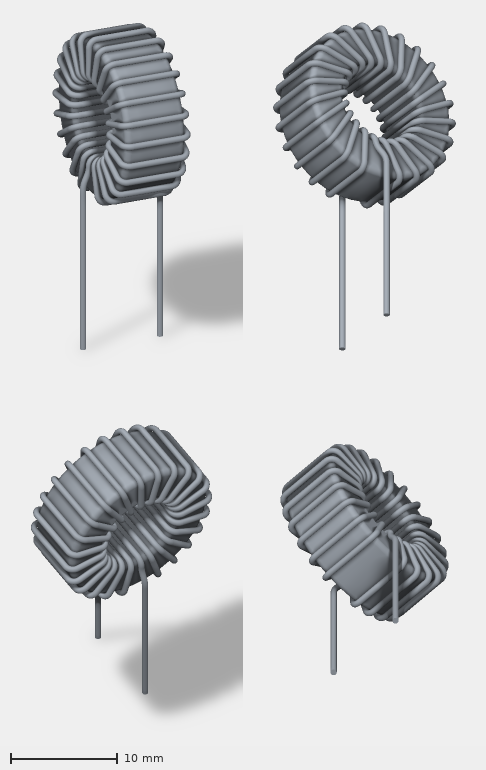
import cadquery as cq
import math

core_diameter = 15.4
hole_diameter = 8.35
core_width = 6.15
core_edge_radius = 0.5

wire_diameter = 0.6
winding_diameter = 16.6
turn_count = 24

lead_spacing = 8.0
lead_top_z = -7.02
lead_bottom_z = -23.05

wire_radius = wire_diameter / 2
bend_radius = core_edge_radius + wire_radius
outer_path_radius = winding_diameter / 2 - wire_radius
inner_path_radius = hole_diameter / 2 - wire_radius
front_y = -core_width / 2 - wire_radius
back_y = core_width / 2 + wire_radius
lead_y = lead_spacing / 2
turn_angle = 360 / turn_count
lead_angle = -90


def make_core():
    """Ring with all four circular edges rounded."""
    ring = (
        cq.Workplane("XZ", origin=(0, core_width / 2, 0))
        .circle(core_diameter / 2)
        .circle(hole_diameter / 2)
        .extrude(core_width)
    )
    return ring.edges("%CIRCLE").fillet(core_edge_radius)


def point_around_core(radius, angle, y):
    """Point at an angle about the Y axis, measured from +X toward +Z."""
    return cq.Vector(
        radius * math.cos(math.radians(angle)),
        y,
        radius * math.sin(math.radians(angle)),
    )


def winding_corners():
    """Corners of the winding centreline, from the back lead to the front lead.

    Each turn runs through the hole to the front, radially outward, over the outside to the back,
    and then slants inward to the start of the next turn. The first and last corners, at the
    bottom of the ring, only set the directions in which the wire leaves toward the leads.
    """
    corners = [point_around_core(outer_path_radius, lead_angle, back_y)]
    for turn in range(1, turn_count + 1):
        angle = lead_angle + turn * turn_angle
        corners.append(point_around_core(inner_path_radius, angle, back_y))
        corners.append(point_around_core(inner_path_radius, angle, front_y))
        corners.append(point_around_core(outer_path_radius, angle, front_y))
        if turn < turn_count:
            corners.append(point_around_core(outer_path_radius, angle, back_y))
    return corners


def corner_arc(before, corner, after):
    """Arc of the bend radius that rounds a corner between two straight runs."""
    toward_before = (before - corner).normalized()
    toward_after = (after - corner).normalized()
    half_angle = toward_before.getAngle(toward_after) / 2
    bisector = (toward_before + toward_after).normalized()
    setback = bend_radius / math.tan(half_angle)
    arc_start = corner + toward_before * setback
    arc_middle = corner + bisector * (bend_radius / math.sin(half_angle) - bend_radius)
    arc_end = corner + toward_after * setback
    return cq.Edge.makeThreePointArc(arc_start, arc_middle, arc_end)


def winding_path():
    """Back lead, curve onto the ring, all the turns with rounded corners, curve off it, front lead."""
    corners = winding_corners()
    arcs = [corner_arc(*triple) for triple in zip(corners, corners[1:], corners[2:])]
    up = cq.Vector(0, 0, 1)
    back_top = cq.Vector(0, lead_y, lead_top_z)
    back_tip = cq.Vector(0, lead_y, lead_bottom_z)
    front_top = cq.Vector(0, -lead_y, lead_top_z)
    front_tip = cq.Vector(0, -lead_y, lead_bottom_z)

    edges = [cq.Edge.makeLine(back_tip, back_top)]
    edges.append(cq.Edge.makeSpline([back_top, arcs[0].startPoint()], [up, arcs[0].tangentAt(0)]))
    for arc, next_arc in zip(arcs, arcs[1:]):
        edges.append(arc)
        edges.append(cq.Edge.makeLine(arc.endPoint(), next_arc.startPoint()))
    edges.append(arcs[-1])
    edges.append(cq.Edge.makeSpline([arcs[-1].endPoint(), front_top], [arcs[-1].tangentAt(1), -up]))
    edges.append(cq.Edge.makeLine(front_top, front_tip))
    return cq.Wire.assembleEdges(edges)


def make_winding():
    """Round wire swept along the whole winding, leads included."""
    return (
        cq.Workplane("XY", origin=(0, lead_y, lead_bottom_z))
        .circle(wire_radius)
        .sweep(cq.Workplane(winding_path()))
    )


core = make_core()
winding = make_winding()

result = cq.Compound.makeCompound([core.val(), winding.val()])